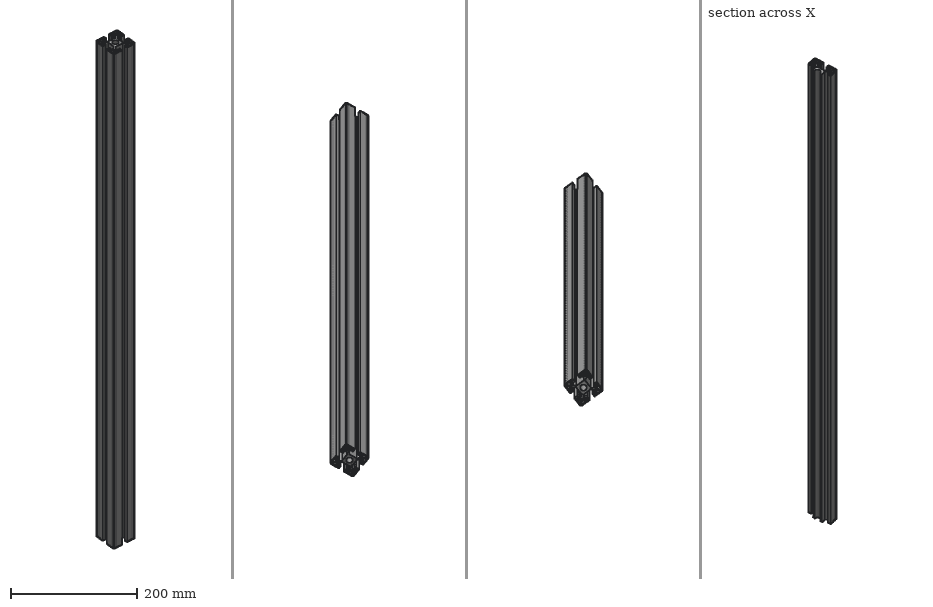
import cadquery as cq

SIDE = 45.0
LENGTH = 1000.0
CORNER_RADIUS = 3.0
HALF_SIDE = SIDE / 2

SLOT_OPENING = 10.0
LIP_THICKNESS = 6.0
CHAMBER_WIDTH = 20.6
CHAMBER_WALL_END = 13.0
FLOOR_WIDTH = 14.4
FLOOR_DISTANCE = 9.25

CORE_HOLE_DIAMETER = 10.2

OUTER_WALL = 1.5
OUTER_WALL_AT_LIP = 2.3
WALL_TAPER_START = 16.3
ARM_TIP = 7.4
ARM_INNER_TIP = 8.5
ARM_INNER_FACE = 18.1
INNER_FACE = 12.75
WEB_OFFSET = 1.3

QUARTERS = 4


def on_each_side(cutter):
    """Return copies of a cutter turned to all four sides of the bar."""
    quarter_turn = 360 / QUARTERS
    copies = cq.Workplane("XY")
    for quarter in range(QUARTERS):
        copies = copies.add(cutter.rotate((0, 0, 0), (0, 0, 1), quarter * quarter_turn))
    return copies


def prism(outline):
    return cq.Workplane("XY").polyline(outline).close().extrude(LENGTH)


def body():
    bar = cq.Workplane("XY").rect(SIDE, SIDE).extrude(LENGTH)
    return bar.edges("|Z").fillet(CORNER_RADIUS)


def slot():
    """T-slot cutter for the +Y face."""
    lip_underside = HALF_SIDE - LIP_THICKNESS
    right_half = [
        (SLOT_OPENING / 2, HALF_SIDE),
        (SLOT_OPENING / 2, lip_underside),
        (CHAMBER_WIDTH / 2, lip_underside),
        (CHAMBER_WIDTH / 2, CHAMBER_WALL_END),
        (FLOOR_WIDTH / 2, FLOOR_DISTANCE),
    ]
    left_half = [(-x, y) for x, y in reversed(right_half)]
    return prism(right_half + left_half)


def corner_hollows():
    """The two hollows of the +X +Y corner, with a diagonal web between them."""
    outer_face = HALF_SIDE - OUTER_WALL
    below_diagonal = [
        (outer_face, outer_face - WEB_OFFSET),
        (outer_face, WALL_TAPER_START),
        (HALF_SIDE - OUTER_WALL_AT_LIP, ARM_TIP),
        (ARM_INNER_FACE, ARM_INNER_TIP),
        (ARM_INNER_FACE, INNER_FACE),
        (INNER_FACE + WEB_OFFSET, INNER_FACE),
    ]
    above_diagonal = [(y, x) for x, y in below_diagonal]
    return prism(below_diagonal).add(prism(above_diagonal))


def core_hole():
    return cq.Workplane("XY").circle(CORE_HOLE_DIAMETER / 2).extrude(LENGTH)


def cut_all(part, cutters):
    for cutter in cutters.vals():
        part = part.cut(cq.Workplane(cutter))
    return part


result = body()
result = cut_all(result, on_each_side(slot()))
result = cut_all(result, on_each_side(corner_hollows()))
result = result.cut(core_hole())